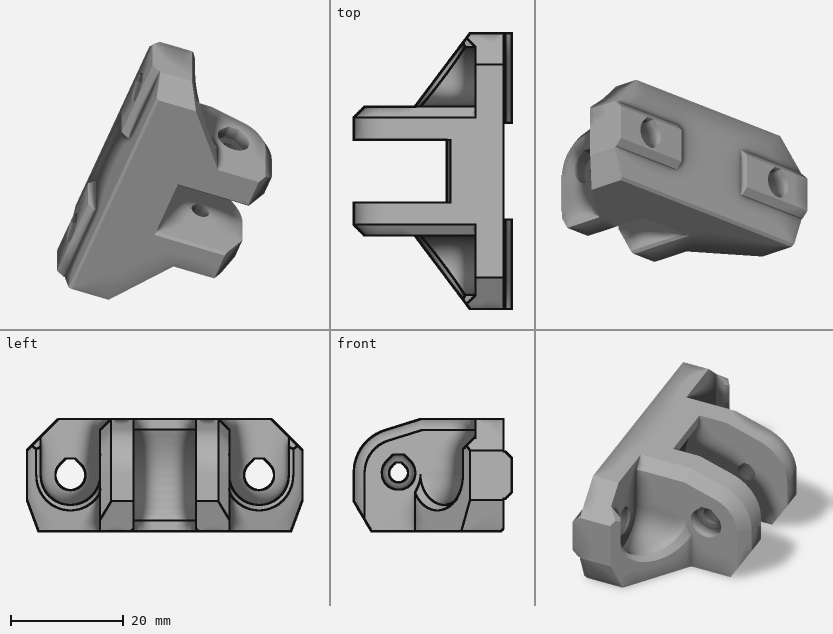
import cadquery as cq
import math

length_y = 49.0
height = 20.0
mid_height = height / 2

plate_back = 26.65
plate_thickness = 5.0
plate_front = plate_back - plate_thickness
side_flat_height = 8.8
bottom_inset = 2.05
foot_chamfer = 0.5

wing_side_x = 20.7
wing_slope = 0.75
wing_pocket_y = 16.75
wing_edge_chamfer = 1.0

arm_inner_y = 5.55
arm_outer_y = 11.45
arm_chamfer = 1.95
pivot_x = 8.0
pivot_z = 10.4
arm_flat_top_x = 11.95
arm_shoulder_z = height - arm_chamfer
toe_length = 3.2
toe_height = 5.4
swing_radius = 12.0
slot_floor_x = 16.5
slot_top_x = 17.2

roof_ratio = 1.1
pin_radius = 1.65
pin_head_radius = 3.0
pin_head_depth = 2.5
bolt_radius = 2.65

key_depth = 1.45
key_height = 8.45
key_chamfer = 1.2
key_length = 15.92

clearance = 0.5
half_length = length_y / 2
top_half_length = half_length - (height - side_flat_height) / 2
pocket_radius = wing_pocket_y - arm_outer_y


def box(x_range, y_range, z_range):
    """Axis-aligned block spanning the given (low, high) ranges."""
    (x0, x1), (y0, y1), (z0, z1) = x_range, y_range, z_range
    return cq.Workplane("XY").box(x1 - x0, y1 - y0, z1 - z0, centered=False).translate((x0, y0, z0))


def both_sides(shape):
    """The shape together with its mirror image across Y = 0."""
    return shape.union(shape.mirror("XZ"))


def roofed_hole(plane, center, radius, depth):
    """Round hole whose top rises along 45-degree tangents to a short flat; center is in plane axes."""
    tangent = radius * math.sqrt(0.5)
    roof = roof_ratio * radius
    roof_half_width = radius * math.sqrt(2) - roof
    return (
        cq.Workplane(plane)
        .center(*center)
        .moveTo(-tangent, tangent)
        .threePointArc((0, -radius), (tangent, tangent))
        .lineTo(roof_half_width, roof)
        .lineTo(-roof_half_width, roof)
        .close()
        .extrude(depth)
    )


def end_profile():
    """Plate outline in YZ, extruded over the full depth."""
    flat_low = mid_height - side_flat_height / 2
    flat_high = mid_height + side_flat_height / 2
    half = [
        (half_length - bottom_inset, 0),
        (half_length, flat_low),
        (half_length, flat_high),
        (top_half_length, height),
    ]
    outline = half + [(-y, z) for y, z in reversed(half)]
    return cq.Workplane("YZ").polyline(outline).close().extrude(plate_back)


def wing():
    """Sloped wing on the +Y side with its bolt-head pocket open at the top."""
    root_x = wing_side_x - wing_slope * half_length
    plan = [
        (plate_back, 0),
        (plate_back, half_length),
        (wing_side_x, half_length),
        (root_x, 0),
    ]
    body = cq.Workplane("XY").polyline(plan).close().extrude(height).intersect(end_profile())
    pocket = (
        cq.Workplane("YZ")
        .moveTo(wing_pocket_y - pocket_radius, height)
        .lineTo(wing_pocket_y - pocket_radius, mid_height)
        .threePointArc(
            (wing_pocket_y, mid_height - pocket_radius),
            (wing_pocket_y + pocket_radius, mid_height),
        )
        .lineTo(wing_pocket_y + pocket_radius, height)
        .close()
        .extrude(plate_front)
    )
    rim_box = cq.selectors.BoxSelector(
        (0, wing_pocket_y - pocket_radius - clearance, clearance),
        (plate_front - clearance, wing_pocket_y + pocket_radius + clearance, height - clearance),
    )
    body = body.cut(pocket)
    slope_face = body.faces(cq.selectors.DirectionMinMaxSelector(cq.Vector(-1, wing_slope, 0)))
    body = slope_face.edges(rim_box).chamfer(wing_edge_chamfer)
    wall_y = wing_pocket_y + pocket_radius
    wall_top = height - (wall_y - top_half_length)
    relief_run = plate_front - root_x
    relief = [
        (plate_front, wall_top),
        (plate_front, height),
        (root_x, height),
        (root_x, wall_top - relief_run),
    ]
    relief_cut = cq.Workplane("XZ", origin=(0, half_length, 0)).polyline(relief).close()
    body = body.cut(relief_cut.extrude(half_length - wing_pocket_y))
    return body.intersect(box((0, plate_back), (arm_outer_y, half_length), (0, height)))


def arm_block():
    """Solid hinge block with chamfered outer edges, before the slot is cut."""
    touch_angle = math.pi - math.asin((arm_shoulder_z - pivot_z) / pivot_x)
    mid_angle = (touch_angle + math.pi) / 2

    def on_nose(angle):
        return (pivot_x + pivot_x * math.cos(angle), pivot_z + pivot_x * math.sin(angle))

    block = (
        cq.Workplane("XZ", origin=(0, arm_outer_y, 0))
        .moveTo(0, 0)
        .lineTo(0, pivot_z)
        .threePointArc(on_nose(mid_angle), on_nose(touch_angle))
        .lineTo(arm_flat_top_x, height)
        .lineTo(plate_back, height)
        .lineTo(plate_back, 0)
        .close()
        .extrude(2 * arm_outer_y)
    )
    block = block.faces("<Y or >Y").edges("not(<Z or >X)").chamfer(arm_chamfer)
    toe = [(0, 0), (toe_length, 0), (0, toe_height)]
    toe_cut = cq.Workplane("XZ", origin=(0, arm_outer_y, 0)).polyline(toe).close()
    return block.cut(toe_cut.extrude(2 * arm_outer_y))


def slot():
    """Gap between the arms, hollowed at the back for the swinging part."""
    y_range = (-arm_inner_y, arm_inner_y)
    swing = (
        cq.Workplane("XZ", origin=(pivot_x, arm_inner_y, pivot_z))
        .circle(swing_radius)
        .extrude(2 * arm_inner_y)
    )
    half_gap = [(arm_inner_y + foot_chamfer, 0), (arm_inner_y, foot_chamfer), (arm_inner_y, pivot_z)]
    gap = half_gap + [(-y, z) for y, z in reversed(half_gap)]
    lower = cq.Workplane("YZ").polyline(gap).close().extrude(slot_floor_x)
    upper = box((0, slot_top_x), y_range, (pivot_z, height))
    return swing.union(lower).union(upper)


def key():
    """Chamfered alignment key behind the +Y bolt hole."""
    key_body = box(
        (plate_back, plate_back + key_depth),
        (half_length - key_length, half_length),
        (mid_height - key_height / 2, mid_height + key_height / 2),
    )
    return key_body.faces(">X").edges("|Y").chamfer(key_chamfer)


plate = end_profile().intersect(
    box((plate_front, plate_back), (-half_length, half_length), (0, height))
)
body = arm_block().union(plate).union(both_sides(wing()))
body = body.faces("<Z").edges(">X").chamfer(foot_chamfer)
body = body.cut(slot()).union(both_sides(key()))

bolt_hole = roofed_hole("YZ", (wing_pocket_y, mid_height), bolt_radius, plate_back + key_depth)
pin_hole = roofed_hole("XZ", (pivot_x, pivot_z), pin_radius, arm_outer_y)
pin_head = roofed_hole("XZ", (pivot_x, pivot_z), pin_head_radius, arm_outer_y).intersect(
    box((0, plate_front), (-arm_outer_y, -arm_outer_y + pin_head_depth), (0, height))
)
result = body.cut(both_sides(bolt_hole)).cut(both_sides(pin_hole.union(pin_head)))